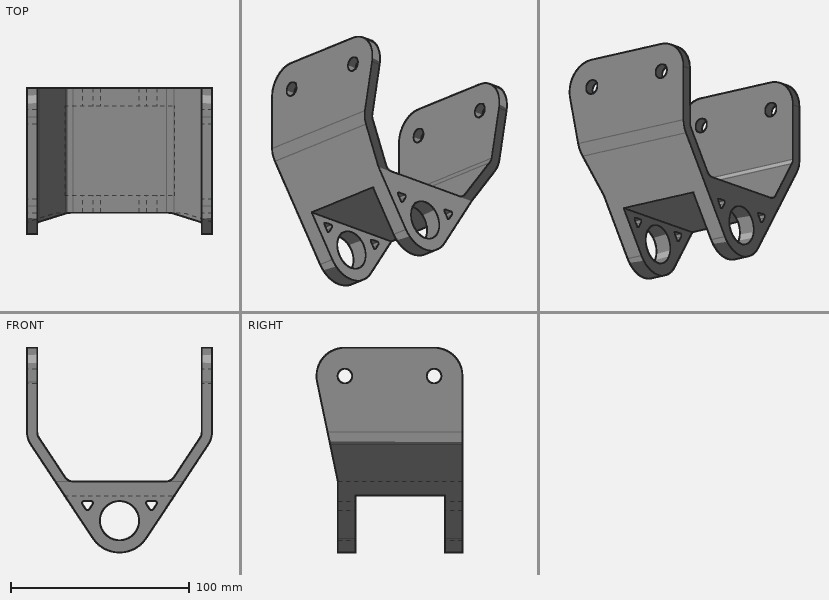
import cadquery as cq
import math

height = 115.0
half_width = 52.0
wall = 6.0
slope_angle = math.radians(56.5)

floor_top = 40.0
floor_thickness = 8.0
base_depth = 70.0
lug_thickness = 10.0
lug_radius = 17.9
bore_diameter = 21.8
outer_bend_radius = 13.0
inner_bend_radius = 5.0
floor_fillet = 5.1

plate_radius = 16.0
plate_hole_diameter = 8.0
plate_hole_spacing = 50.0

window_offset = 17.9
window_half_width = 3.9
window_fillet = 1.0

bore_z = lug_radius
sin_a = math.sin(slope_angle)
cos_a = math.cos(slope_angle)
tan_a = math.tan(slope_angle)
back_hole_y = -plate_radius
front_hole_y = back_hole_y - plate_hole_spacing
hole_z = height - plate_radius


def flank_z(x, inset):
    """Height at x of the right flank line, moved inward by inset from the lug tangent."""
    return bore_z + (x * sin_a - (lug_radius - inset)) / cos_a


def flank_x(z, inset):
    """X at height z on the same flank line."""
    return (lug_radius - inset + (z - bore_z) * cos_a) / sin_a


def extrude_along_y(sketch):
    """Extrude an XZ sketch from the back face through the full depth of the bracket."""
    full_depth = plate_radius - front_hole_y
    return sketch.extrude(full_depth)


def round_bends(solid, bend_z, radius):
    """Round the Y-direction edges where the uprights meet the flanks, at height bend_z."""
    margin = wall / 2
    bend_edges = cq.selectors.BoxSelector(
        (-half_width - margin, -height, bend_z - margin),
        (half_width + margin, height, bend_z + margin),
    )
    return solid.edges("|Y").edges(bend_edges).fillet(radius)


def outer_body():
    """V-shaped outline with upright sides, rounded at the bends and around the bore."""
    tangent_x = lug_radius * sin_a
    tangent_z = bore_z - lug_radius * cos_a
    bend_z = flank_z(half_width, 0)
    outline = (
        cq.Workplane("XZ")
        .moveTo(-half_width, height)
        .lineTo(-half_width, bend_z)
        .lineTo(-tangent_x, tangent_z)
        .threePointArc((0, 0), (tangent_x, tangent_z))
        .lineTo(half_width, bend_z)
        .lineTo(half_width, height)
        .close()
    )
    return round_bends(extrude_along_y(outline), bend_z, outer_bend_radius)


def channel():
    """Space between the upright plates, down to the floor."""
    inner_x = half_width - wall
    bend_z = flank_z(inner_x, wall)
    floor_x = flank_x(floor_top, wall)
    outline = cq.Workplane("XZ").polyline([
        (-inner_x, height),
        (-inner_x, bend_z),
        (-floor_x, floor_top),
        (floor_x, floor_top),
        (inner_x, bend_z),
        (inner_x, height),
    ]).close()
    solid = round_bends(extrude_along_y(outline), bend_z, inner_bend_radius)
    return solid.faces("<Z").edges("|Y").fillet(floor_fillet)


def side_envelope():
    """Side outline with two round top corners and a front edge tangent to the front one."""
    dy = front_hole_y + base_depth
    dz = hole_z - floor_top
    center_direction = math.atan2(dz, dy)
    tangent_direction = center_direction + math.asin(plate_radius / math.hypot(dy, dz))
    tangent_y = front_hole_y - plate_radius * math.sin(tangent_direction)
    tangent_z = hole_z + plate_radius * math.cos(tangent_direction)
    diagonal = plate_radius * math.sqrt(0.5)
    return (
        cq.Workplane("YZ")
        .lineTo(0, hole_z)
        .threePointArc((back_hole_y + diagonal, hole_z + diagonal), (back_hole_y, height))
        .lineTo(front_hole_y, height)
        .threePointArc((front_hole_y - diagonal, hole_z + diagonal), (tangent_y, tangent_z))
        .lineTo(-base_depth, floor_top)
        .lineTo(-base_depth, 0)
        .close()
        .extrude(half_width, both=True)
    )


def lug_gap():
    """Gap under the floor that leaves a lug at each end."""
    gap_height = floor_top - floor_thickness
    return cq.Workplane("XY").box(
        2 * half_width, base_depth - 2 * lug_thickness, gap_height, centered=(True, True, False)
    ).translate((0, -base_depth / 2, 0))


def plate_holes():
    """Two mounting holes through both upright plates."""
    return (
        cq.Workplane("YZ")
        .pushPoints([(back_hole_y, hole_z), (front_hole_y, hole_z)])
        .circle(plate_hole_diameter / 2)
        .extrude(half_width, both=True)
    )


def bore():
    """Pivot bore through both lugs."""
    return extrude_along_y(cq.Workplane("XZ").center(0, bore_z).circle(bore_diameter / 2))


def window(x):
    """Rounded triangular window, level with the top of the bore and pointing down."""
    top = bore_z + bore_diameter / 2
    outline = cq.Workplane("XZ").polyline([
        (x - window_half_width, top),
        (x + window_half_width, top),
        (x, top - window_half_width * tan_a),
    ]).close()
    return extrude_along_y(outline).edges("|Y").fillet(window_fillet)


result = outer_body().cut(channel()).intersect(side_envelope())
result = result.cut(lug_gap()).cut(plate_holes()).cut(bore())
for side in (-1, 1):
    result = result.cut(window(side * window_offset))